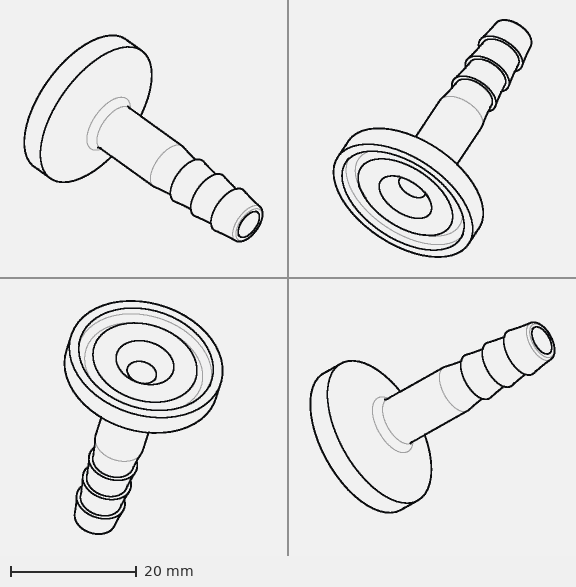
import cadquery as cq
import math

total_length = 38.1
flange_radius = 25.0 / 2
flange_thickness = 3.65
flange_back_angle = 20.0
tube_radius = 7.92 / 2
neck_fillet_radius = 1.4
selection_margin = 0.05

barb_count = 4
barb_pitch = 4.57
barb_length = barb_count * barb_pitch
barb_root_radius = 3.3
barb_hollow = 0.08
tip_fillet_radius = 0.4

bore_radius = 4.75 / 2
mouth_radius = 9.4 / 2
mouth_depth = mouth_radius - bore_radius

recess_radius = 21.9 / 2
recess_depth = 0.8
seal_face_radius = 16.95 / 2
groove_inner_radius = 19.25 / 2
groove_inner_depth = 1.9
groove_round_radius = 0.8


def revolve_about_x(profile):
    """Revolve a closed (x, radius) profile a full turn about the X axis."""
    return profile.close().revolve(360, (0, 0, 0), (1, 0, 0))


def make_flange_and_tube():
    back_length = (flange_radius - tube_radius) * math.tan(math.radians(flange_back_angle))
    neck_x = flange_thickness + back_length
    profile = (
        cq.Workplane("XY")
        .lineTo(0, flange_radius)
        .lineTo(flange_thickness, flange_radius)
        .lineTo(neck_x, tube_radius)
        .lineTo(total_length - barb_length, tube_radius)
        .lineTo(total_length - barb_length, 0)
    )
    neck_edge = cq.selectors.BoxSelector(
        (neck_x - selection_margin, -flange_radius, -flange_radius),
        (neck_x + selection_margin, flange_radius, flange_radius),
    )
    return revolve_about_x(profile).edges(neck_edge).edges("%CIRCLE").fillet(neck_fillet_radius)


def make_barbs():
    start = total_length - barb_length
    flank_middle_radius = (tube_radius + barb_root_radius) / 2 - barb_hollow
    profile = cq.Workplane("XY").moveTo(start, 0)
    for index in range(barb_count):
        x = start + index * barb_pitch
        profile = profile.lineTo(x, tube_radius).threePointArc(
            (x + barb_pitch / 2, flank_middle_radius),
            (x + barb_pitch, barb_root_radius),
        )
    profile = profile.lineTo(total_length, 0)
    return revolve_about_x(profile).faces(">X").edges().fillet(tip_fillet_radius)


def make_bore():
    profile = (
        cq.Workplane("XY")
        .lineTo(0, mouth_radius)
        .lineTo(recess_depth, mouth_radius)
        .lineTo(recess_depth + mouth_depth, bore_radius)
        .lineTo(total_length, bore_radius)
        .lineTo(total_length, 0)
    )
    return revolve_about_x(profile)


def make_face_recess():
    """Recess with a groove whose round is tangent to the outer wall."""
    round_center_radius = recess_radius - groove_round_radius
    end_angle = math.asin((round_center_radius - groove_inner_radius) / groove_round_radius)
    round_center_x = groove_inner_depth - groove_round_radius * math.cos(end_angle)
    middle_angle = (end_angle - math.pi / 2) / 2
    round_middle = (
        round_center_x + groove_round_radius * math.cos(middle_angle),
        round_center_radius - groove_round_radius * math.sin(middle_angle),
    )
    profile = (
        cq.Workplane("XY")
        .lineTo(0, recess_radius)
        .lineTo(round_center_x, recess_radius)
        .threePointArc(round_middle, (groove_inner_depth, groove_inner_radius))
        .lineTo(recess_depth, seal_face_radius)
        .lineTo(recess_depth, 0)
    )
    return revolve_about_x(profile)


result = (
    make_flange_and_tube()
    .union(make_barbs())
    .cut(make_bore())
    .cut(make_face_recess())
)